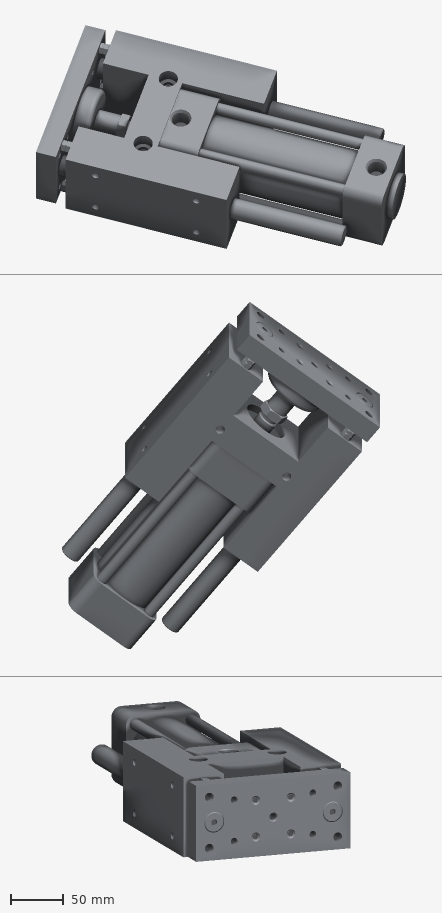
import cadquery as cq
import math


plate_length = 19.8
plate_width = 157.0
plate_height = 74.0
corner_hole_diameter = 8.7
corner_hole_y = 65.2
corner_hole_z = 25.0
inner_hole_diameter = 6.7
inner_hole_y = 40.0
inner_hole_z = 20.0
center_hole_diameter = 6.7
center_hole_rim = 8.7
center_hole_chamfer = 1.0

flange_diameter = 60.0
flange_end_x = 36.3
flange_round = 4.5
flange_chamfer = 0.7
screw_head_diameter = 8.7
screw_face_diameter = 6.0
screw_recess = 1.5
screw_socket_flats = 4.7
screw_socket_depth = 4.0
screw_offset = 17.8

joint_stem_diameter = 22.0
nut_start_x = 58.5
nut_end_x = 67.2
nut_flats = 24.2
nut_chamfer = 1.0
thread_diameter = 16.0
rod_start_x = 71.5
rod_diameter = 20.0
rod_chamfer = 1.0

guide_diameter = 20.0
guide_y = 60.0
guide_end_x = 300.0
guide_chamfer = 1.0
guide_center_diameter = 6.0
guide_center_depth = 3.5

housing_start_x = 30.0
housing_length = 160.0
housing_end_x = housing_start_x + housing_length
housing_width = 160.0
housing_height = 78.0
notch_width = 78.0
bridge_start_x = 75.3
bridge_end_x = 108.5
rod_recess_diameter = 45.0
rod_recess_depth = 7.0
mount_x = 94.5
mount_y = 40.0
mount_bore_diameter = 18.0
mount_bore_depth = 12.8
mount_step_diameter = 11.0
mount_step_depth = 16.8
mount_hole_diameter = 8.7
side_hole_diameter = 6.7
side_hole_depth = 15.0
side_hole_x = (59.5, 159.5)
side_hole_z = 25.0

stop_flats = 10.5
stop_chamfer = 1.0
stop_start_x = 20.5
stop_joint_x = 24.5
stop_z = 32.0

total_length = 336.0
head_length = 38.5
head_size = 75.5
head_round = 10.0
front_head_end_x = bridge_end_x + head_length
rear_head_start_x = 291.5
rear_head_end_x = rear_head_start_x + head_length
tube_diameter = 66.5
tie_rod_diameter = 11.0
tie_rod_offset = 28.2
boss_diameter = 45.0
port_rim_diameter = 20.0
port_throat_diameter = 16.8
port_floor_diameter = 12.8
port_chamfer = 2.7
port_depth = 15.0
front_port_x = 119.3
rear_port_x = 313.5

SIDES = (-1, 1)
CORNERS = [(side, level) for side in SIDES for level in SIDES]



def round_bar(diameter, start, end, y=0, z=0):
    plane = cq.Workplane("YZ", origin=(start, y, z))
    return plane.circle(diameter / 2).extrude(end - start)


def cone(front_diameter, back_diameter, start, end):
    """Frustum on the X axis."""
    front = cq.Workplane("YZ", origin=(start, 0, 0)).circle(front_diameter / 2)
    return front.workplane(offset=end - start).circle(back_diameter / 2).loft(ruled=True)


def across_corners(flats):
    return flats / math.cos(math.pi / 6)


def hex_bar(flats, start, end, y=0, z=0):
    """Hexagonal prism with flats facing +Z and -Z."""
    plane = cq.Workplane("YZ", origin=(start, y, z))
    return plane.polygon(6, across_corners(flats)).extrude(end - start)


def hex_nut(flats, start, end, chamfer, chamfered_faces, y=0, z=0):
    """Hexagonal prism with its corners turned down on the chosen end faces."""
    corner_height = (across_corners(flats) - flats) / 2
    turned = round_bar(across_corners(flats), start, end, y, z)
    turned = turned.faces(chamfered_faces).edges().chamfer(chamfer, corner_height)
    return hex_bar(flats, start, end, y, z).intersect(turned)


def block(start, end, width, height):
    """Box centered on the X axis."""
    box = cq.Workplane("XY").box(end - start, width, height, centered=(False, True, True))
    return box.translate((start, 0, 0))



def make_plate():
    plate = block(0, plate_length, plate_width, plate_height)
    for side, level in CORNERS:
        plate = plate.cut(
            round_bar(corner_hole_diameter, 0, plate_length, side * corner_hole_y, level * corner_hole_z)
        )
        plate = plate.cut(
            round_bar(inner_hole_diameter, 0, plate_length, side * inner_hole_y, level * inner_hole_z)
        )
    for side in SIDES:
        plate = plate.cut(round_bar(guide_diameter, 0, plate_length, side * guide_y))
    plate = plate.cut(round_bar(center_hole_diameter, 0, plate_length))
    return plate.cut(cone(center_hole_rim, center_hole_diameter, 0, center_hole_chamfer))


def make_screw_recess(y, z):
    """Countersink and hexagonal socket of one flange screw."""
    countersink = cone(screw_head_diameter, screw_face_diameter, 0, screw_recess)
    socket = hex_bar(screw_socket_flats, 0, screw_socket_depth)
    return countersink.union(socket).translate((0, y, z))


def make_piston_rod():
    """Joint flange, stem, lock nut, thread and rod, in order along +X."""
    flange = round_bar(flange_diameter, plate_length, flange_end_x)
    flange = flange.faces(">X").edges().fillet(flange_round)
    flange = flange.faces("<X").edges().chamfer(flange_chamfer)
    stem = round_bar(joint_stem_diameter, flange_end_x, nut_start_x)
    nut = hex_nut(nut_flats, nut_start_x, nut_end_x, nut_chamfer, "<X or >X")
    thread = round_bar(thread_diameter, nut_end_x, rod_start_x)
    rod = round_bar(rod_diameter, rod_start_x, bridge_end_x)
    rod = rod.faces("<X").edges().chamfer(rod_chamfer)
    return flange.union(stem).union(nut).union(thread).union(rod)


def make_guide_rod(y):
    rod = round_bar(guide_diameter, 0, guide_end_x, y).edges().chamfer(guide_chamfer)
    return rod.cut(round_bar(guide_center_diameter, 0, guide_center_depth, y))


def make_carriage():
    body = make_plate().union(make_piston_rod())
    for side, level in CORNERS:
        body = body.cut(make_screw_recess(side * screw_offset, level * screw_offset))
    for side in SIDES:
        body = body.union(make_guide_rod(side * guide_y))
    return body



def make_frame():
    """H-shaped block: two guide arms joined by a bridge."""
    frame = block(housing_start_x, housing_end_x, housing_width, housing_height)
    frame = frame.cut(block(housing_start_x, bridge_start_x, notch_width, housing_height))
    frame = frame.cut(block(bridge_end_x, housing_end_x, notch_width, housing_height))
    return frame.cut(round_bar(rod_recess_diameter, bridge_start_x, bridge_start_x + rod_recess_depth))


def make_mount_hole(y):
    """Stepped hole down through the bridge."""
    top = cq.Workplane("XY", origin=(mount_x, y, housing_height / 2))
    bore = top.circle(mount_bore_diameter / 2).extrude(-mount_bore_depth)
    step = top.circle(mount_step_diameter / 2).extrude(-mount_step_depth)
    through = top.circle(mount_hole_diameter / 2).extrude(-housing_height)
    return bore.union(step).union(through)


def make_side_hole(x, side, z):
    """Blind hole into the outer face of one guide arm."""
    face = cq.Workplane("XZ", origin=(x, side * housing_width / 2, z))
    return face.circle(side_hole_diameter / 2).extrude(side * side_hole_depth)


def make_stop_bolt(y, z):
    head = hex_nut(stop_flats, stop_start_x, stop_joint_x, stop_chamfer, "<X", y, z)
    lock_nut = hex_nut(stop_flats, stop_joint_x, housing_start_x, stop_chamfer, "<X", y, z)
    return head.union(lock_nut)


def make_head(start):
    return block(start, start + head_length, head_size, head_size).edges("|X").fillet(head_round)


def make_port(x):
    """Chamfered, tapered port in the top of a cylinder head."""
    profile = [
        (0, 0),
        (port_rim_diameter / 2, 0),
        (port_throat_diameter / 2, -port_chamfer),
        (port_floor_diameter / 2, -port_depth),
        (0, -port_depth),
    ]
    port = cq.Workplane("XZ").polyline(profile).close().revolve(360, (0, 0), (0, 1))
    return port.translate((x, 0, head_size / 2))


def make_cylinder():
    cylinder = make_head(bridge_end_x).union(make_head(rear_head_start_x))
    cylinder = cylinder.union(round_bar(tube_diameter, front_head_end_x, rear_head_start_x))
    for side, level in CORNERS:
        y = side * tie_rod_offset
        z = level * tie_rod_offset
        cylinder = cylinder.union(round_bar(tie_rod_diameter, front_head_end_x, rear_head_start_x, y, z))
    cylinder = cylinder.union(round_bar(boss_diameter, rear_head_end_x, total_length))
    for x in (front_port_x, rear_port_x):
        cylinder = cylinder.cut(make_port(x))
    return cylinder


def make_housing():
    body = make_frame().union(make_cylinder())
    for side, level in CORNERS:
        body = body.union(make_stop_bolt(side * guide_y, level * stop_z))
        for x in side_hole_x:
            body = body.cut(make_side_hole(x, side, level * side_hole_z))
    for side in SIDES:
        body = body.cut(make_mount_hole(side * mount_y))
        body = body.cut(round_bar(guide_diameter, housing_start_x, housing_end_x, side * guide_y))
    return body.cut(round_bar(rod_diameter, bridge_start_x, bridge_end_x))


carriage = make_carriage()
housing = make_housing()

result = cq.Compound.makeCompound([carriage.solids().val(), housing.solids().val()])